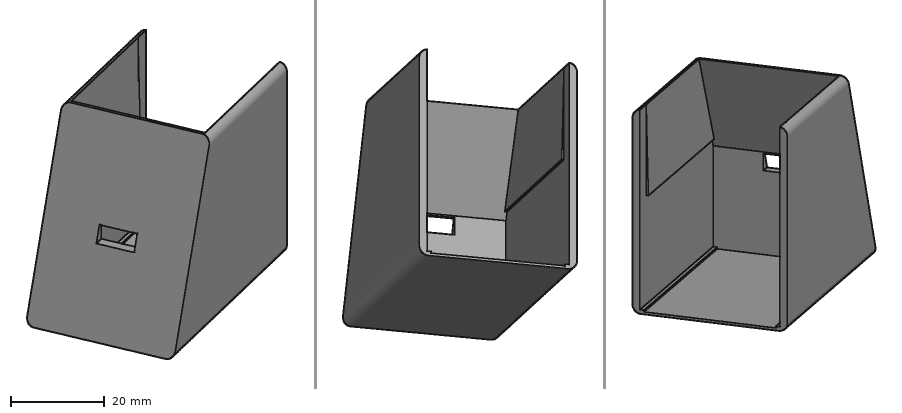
import cadquery as cq

width = 35.3
depth = 54.0
height = 46.0
front_setback = 17.6
edge_radius = 2.0

side_wall = 1.75
floor_thickness = 0.6
front_wall = 0.75
lean_end_height = 23.7

rib_thickness = 0.5
rib_bottom = 25.5
rib_back_gap = 3.85

step_width = 0.9
step_height = 0.4

slot_width = 9.0
slot_bottom = 19.5
slot_height = 3.85

half_inner_width = width / 2 - side_wall


def front_y(z):
    """Y position of the leaning front face at height z."""
    return front_setback * z / height


def extrude_across(points, total_width):
    """Extrude a Y-Z outline symmetrically about the X = 0 plane."""
    return cq.Workplane("YZ").polyline(points).close().extrude(total_width / 2, both=True)


def make_body():
    outline = [(0, 0), (depth, 0), (depth, height), (front_y(height), height)]
    return extrude_across(outline, width).edges("|Y").fillet(edge_radius)


def make_cavity():
    """Space open at the top and the back."""
    lower_front = front_y(lean_end_height) + front_wall
    outline = [
        (lower_front, floor_thickness),
        (depth, floor_thickness),
        (depth, height),
        (front_y(height) + front_wall, height),
        (lower_front, lean_end_height),
    ]
    return extrude_across(outline, 2 * half_inner_width)


def make_rib():
    """Rib on the +X wall, thickest at its flat bottom and vanishing at the top."""
    outline = [
        (half_inner_width, height),
        (half_inner_width, rib_bottom),
        (half_inner_width - rib_thickness, rib_bottom),
    ]
    rib_length = depth - rib_back_gap
    return cq.Workplane("XZ").polyline(outline).close().extrude(-rib_length)


def make_floor_step():
    """Step along the foot of the +X wall."""
    step = cq.Workplane("XY").box(step_width, depth, step_height, centered=False)
    return step.translate((half_inner_width - step_width, 0, floor_thickness))


def make_slot():
    slot = cq.Workplane("XY").box(slot_width, depth, slot_height, centered=(True, False, False))
    return slot.translate((0, 0, slot_bottom))


cavity = make_cavity()
for wall_feature in (make_rib(), make_floor_step()):
    cavity = cavity.cut(wall_feature).cut(wall_feature.mirror("YZ"))

result = make_body().cut(cavity).cut(make_slot())